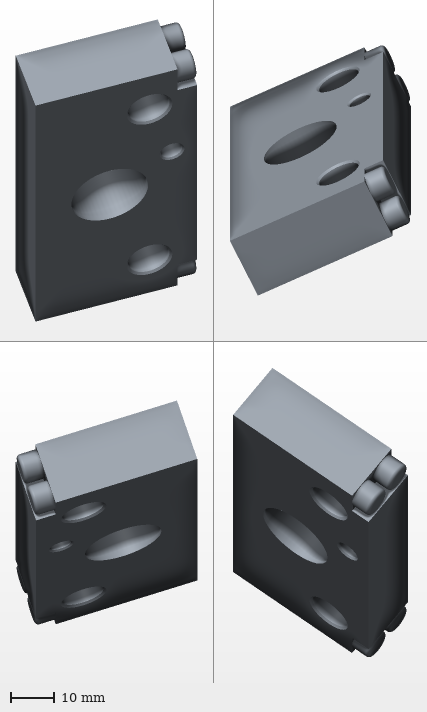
import cadquery as cq

thickness = 15.0
depth = 39.1
height = 83.5

notch_depth = 4.8
notch_height = 8.0

head_diameter = 7.0
head_fillet = 0.8
head_x = (thickness - head_diameter) / 2
head_z = (height - notch_height) / 2

bore_diameter = 18.5
bore_from_back = 21.1
mount_diameter = 10.0
mount_chamfer = 0.5
mount_from_back = 11.5
mount_z = 29.05
pin_diameter = 5.2
pin_chamfer = 0.4
pin_from_back = 6.1
pin_z = 10.5

back_y = depth / 2
side_x = thickness / 2


def hole_cutter(diameter, from_back, z, chamfer):
    """Through hole along X, with a 45 degree chamfer at both ends."""
    radius = diameter / 2
    profile = (
        cq.Workplane("XY")
        .moveTo(-side_x, 0)
        .lineTo(-side_x, radius + chamfer)
        .lineTo(-side_x + chamfer, radius)
        .lineTo(side_x - chamfer, radius)
        .lineTo(side_x, radius + chamfer)
        .lineTo(side_x, 0)
        .close()
    )
    cutter = profile.revolve(360, (0, 0, 0), (1, 0, 0))
    return cutter.translate((0, back_y - from_back, z))


def screw_head(x, z):
    """Cylindrical head standing on the notch floor, rounded at its outer rim."""
    head = cq.Workplane("XZ").circle(head_diameter / 2).extrude(-notch_depth)
    head = head.faces(">Y").edges().fillet(head_fillet)
    return head.translate((x, back_y - notch_depth, z))


plate = cq.Workplane("XY").box(thickness, depth, height)

for side in (-1, 1):
    notch = cq.Workplane("XY").box(thickness, notch_depth, notch_height)
    plate = plate.cut(notch.translate((0, back_y - notch_depth / 2, side * head_z)))
    for x in (-head_x, head_x):
        plate = plate.union(screw_head(x, side * head_z))

bore = cq.Workplane("YZ", origin=(-side_x, 0, 0)).circle(bore_diameter / 2).extrude(thickness)
plate = plate.cut(bore.translate((0, back_y - bore_from_back, 0)))
for z in (-mount_z, mount_z):
    plate = plate.cut(hole_cutter(mount_diameter, mount_from_back, z, mount_chamfer))
plate = plate.cut(hole_cutter(pin_diameter, pin_from_back, pin_z, pin_chamfer))

result = plate